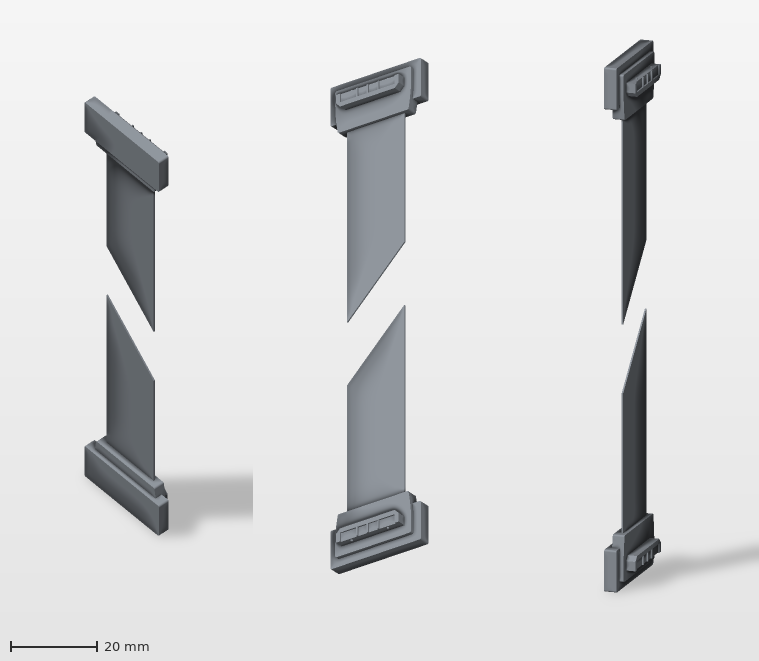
import cadquery as cq

total_height = 126.0
total_depth = 6.3
front_y = -total_depth / 2
back_y = total_depth / 2
top_z = total_height / 2

plate_width = 26.0
plate_height = 10.1
plate_depth = 3.0
corner_radius = 0.44

block_width = 21.7
block_end_width = 20.2
block_top_drop = 2.0
block_height = 11.1
block_straight = 3.5
block_front_inset = 1.1

key_width = 17.9
key_depth = 2.3
key_top_drop = 4.4
key_height = 3.4
key_chamfer = 1.1

recess_width = 15.6
recess_depth = 0.4
recess_height = 2.3
rib_width = 0.4
rib_pitch = 3.0

bump_diameter = 0.57
bump_height = 0.4
bump_x = 5.2
bump_back_inset = 1.0

ribbon_width = 16.4
ribbon_thickness = 0.4
ribbon_tip_z = 0.3
ribbon_slant_rise = 16.0

plate_back_y = front_y + plate_depth
block_front_y = front_y + block_front_inset
block_back_y = back_y - key_depth
block_top_z = top_z - block_top_drop
block_bottom_z = block_top_z - block_height
key_top_z = top_z - key_top_drop


def box_between(x_center, width, y_start, y_end, z_start, z_end):
    """Box centred on x_center, spanning the given Y and Z ranges."""
    return cq.Workplane("XY").box(width, y_end - y_start, z_end - z_start).translate(
        (x_center, (y_start + y_end) / 2, (z_start + z_end) / 2)
    )


def extrude_y(outline, y_start, y_end):
    """Extrude a closed XZ outline from y_start to y_end."""
    return outline.extrude(y_start - y_end).translate((0, y_start, 0))


def make_plate():
    plate = box_between(0, plate_width, front_y, plate_back_y, top_z - plate_height, top_z)
    return plate.edges("|Y").fillet(corner_radius)


def make_block():
    """Block with straight upper sides that curve inward towards the ribbon."""
    half_top = block_width / 2
    half_end = block_end_width / 2
    curve_top_z = block_top_z - block_straight
    outline = (
        cq.Workplane("XZ")
        .moveTo(-half_top, block_top_z)
        .lineTo(half_top, block_top_z)
        .lineTo(half_top, curve_top_z)
        .tangentArcPoint((half_end, block_bottom_z), relative=False)
        .lineTo(-half_end, block_bottom_z)
        .threePointArc(mirrored_arc_middle(half_top, half_end, curve_top_z), (-half_top, curve_top_z))
        .close()
    )
    block = extrude_y(outline, block_front_y, block_back_y)
    return block.faces(">Z or <Z").edges("|Y").fillet(corner_radius)


def mirrored_arc_middle(half_top, half_end, curve_top_z):
    """Point on the left side arc, which is tangent to the vertical at its top."""
    run = half_top - half_end
    drop = curve_top_z - block_bottom_z
    radius = (run**2 + drop**2) / (2 * run)
    half_drop = drop / 2
    inset = radius - (radius**2 - half_drop**2) ** 0.5
    return (-half_top + inset, curve_top_z - half_drop)


def make_key():
    half = key_width / 2
    key_bottom_z = key_top_z - key_height
    outline = cq.Workplane("XZ").polyline(
        [
            (-half, key_top_z),
            (half, key_top_z),
            (half, key_bottom_z + key_chamfer),
            (half - key_chamfer, key_bottom_z),
            (-half + key_chamfer, key_bottom_z),
            (-half, key_bottom_z + key_chamfer),
        ]
    ).close()
    key = extrude_y(outline, block_back_y, back_y)
    return key.cut(make_recess()).union(make_bumps())


def make_recess():
    """Recess volume, left open where the ribs stand."""
    span = (back_y - recess_depth, back_y, key_top_z - recess_height, key_top_z)
    recess = box_between(0, recess_width, *span)
    for index in (-1, 0, 1):
        recess = recess.cut(box_between(index * rib_pitch, rib_width, *span))
    return recess


def make_bumps():
    bump_y = back_y - bump_back_inset
    return (
        cq.Workplane("XY")
        .workplane(offset=key_top_z)
        .pushPoints([(-bump_x, bump_y), (bump_x, bump_y)])
        .circle(bump_diameter / 2)
        .extrude(bump_height)
    )


def make_ribbon():
    half = ribbon_width / 2
    outline = cq.Workplane("XZ").polyline(
        [
            (-half, block_bottom_z),
            (half, block_bottom_z),
            (half, ribbon_tip_z),
            (-half, ribbon_tip_z + ribbon_slant_rise),
        ]
    ).close()
    return extrude_y(outline, plate_back_y - ribbon_thickness, plate_back_y)


def make_cable_half():
    return make_plate().union(make_block()).union(make_key()).union(make_ribbon())


cable_halves = [make_cable_half().rotate((0, 0, 0), (0, 1, 0), turn) for turn in (0, 180)]

result = cq.Compound.makeCompound([half.val() for half in cable_halves])